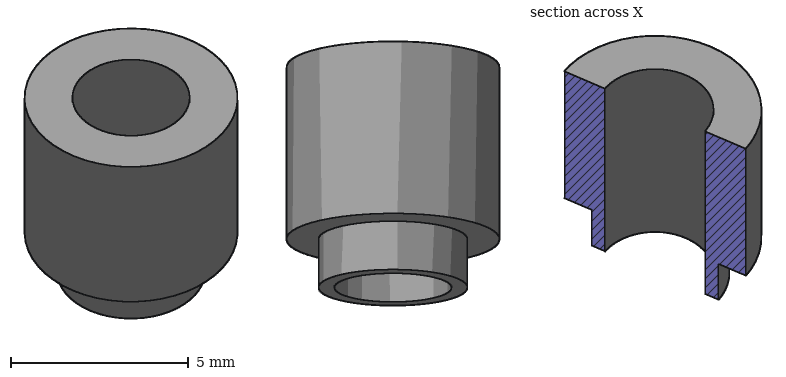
import cadquery as cq

total_height = 6.4
spigot_height = 1.4
body_diameter = 6.0
spigot_diameter = 4.2
bore_diameter = 3.3

body_height = total_height - spigot_height

spigot = cq.Workplane("XY").circle(spigot_diameter / 2).extrude(spigot_height)
bushing = spigot.faces(">Z").workplane().circle(body_diameter / 2).extrude(body_height)

result = bushing.faces(">Z").workplane().hole(bore_diameter)